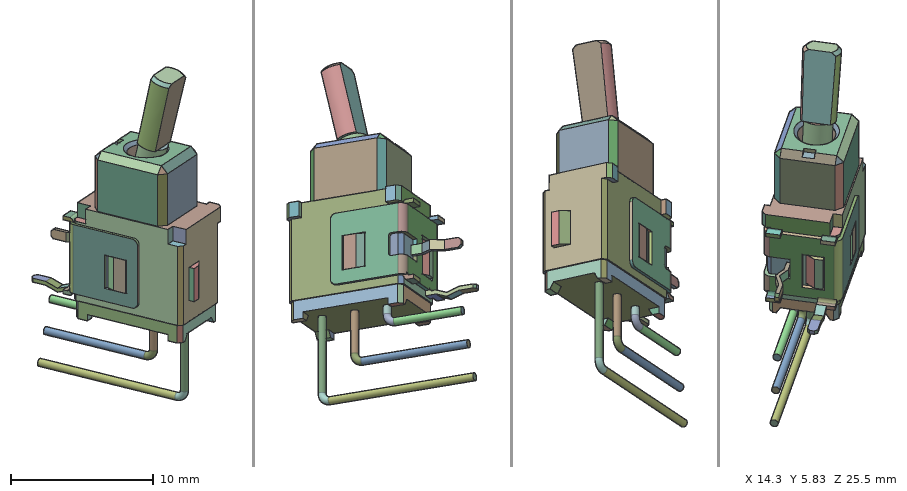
import cadquery as cq
import math


block_length = 8.98
block_width = 5.2
block_height = 7.22
corner_chamfer = 0.3

step_length = 1.1
step_height = 1.12
notch_depth = 0.66
ear_reach = 3.0

bezel_length = 5.97
bezel_width = 5.0
bezel_top = 11.7
bezel_chamfer = 0.5
socket_radius = 1.6
socket_chamfer = 0.25
socket_seat_radius = 1.07
mark_length = 0.71
mark_width = 0.87
mark_depth = 0.3
mark_end = -2.15

pivot_height = 9.6
lever_tilt = 13
lever_length = 8.37
collar_length = 2.78
collar_radius = 1.05
ball_radius = 1.28
lever_base_radius = 1.28
lever_tip_radius = 1.38
lever_tip_chamfer = 0.25
lever_thickness = 1.53

base_length = 8.78
base_width = 5.0
base_height = 1.4
slot_height = 0.48
arch_length = 6.64
tunnel_top_width = 3.27
tunnel_bottom_width = 3.88

stud_bottom = 1.6
stud_top = 4.15
stud_width = 1.3
stud_start = -0.23
stud_slope = 0.7
stud_height = 0.4
face_stud_length = 1.58
face_stud_end = 0.03
face_stud_slope = 0.55
face_stud_height = 0.2

sheet = 0.3
bracket_bottom = 0.6
bracket_top = 5.92
bracket_reach = 2.83
bracket_end = 1.02
bracket_bend = 0.5
arm_corner = 0.43
arm_window = (-1.7, 0.1)
plate_window_y = (-1.6, 0.0)
plate_window_z = (1.45, 4.35)
cutout_z = (2.07, 3.78)
cutout_edge = 0.87
cutout_length = 1.28
cutout_corner = 0.25

lip_end = -5.33
lip_inner = 1.45
lip_outer = 2.5
lower_lip_drop = 0.08
lip_fillet = 0.23
leg_tip = -8.4
leg_kink_start = -7.12
leg_kink_peak = -6.15
leg_width = 0.75
lower_leg_outer = -1.9
lower_leg_kink = 0.3
side_leg_bottom = 2.53
side_leg_kink = 0.43
leg_tip_chamfer = 0.2

pin_diameter = 0.59
pin_pitch = 2.55
pin_y = 1.0
pin_bend = 0.6
pin_tips = (-8.45, -8.9, -9.4)
first_pin_drop = 2.2
pin_embed = 0.25

half_block = block_length / 2
front_face = -block_width / 2
plate_outer = -half_block - sheet


def box(x_range, y_range, z_range):
    """Box between the given limits."""
    return (
        cq.Workplane("XY")
        .box(x_range[1] - x_range[0], y_range[1] - y_range[0], z_range[1] - z_range[0], centered=False)
        .translate((x_range[0], y_range[0], z_range[0]))
    )


def centered_box(length, width, bottom, top):
    """Box centred on the Z axis."""
    return box((-length / 2, length / 2), (-width / 2, width / 2), (bottom, top))


def plan_prism(points, bottom, top):
    """Outline in X and Y, extruded along Z."""
    return cq.Workplane("XY", origin=(0, 0, bottom)).polyline(points).close().extrude(top - bottom)


def along_y(profile, y_low, y_high):
    """Closed X-Z profile, drawn at Y = 0, extruded between two Y positions."""
    return profile.extrude(y_low - y_high).translate((0, y_low, 0))


def make_block():
    block = centered_box(block_length, block_width, 0, block_height)
    block = block.edges("|Z").chamfer(corner_chamfer)
    step_bottom = block_height - step_height
    step_start = half_block - step_length
    for side in (-1, 1):
        x_range = sorted((side * step_start, side * half_block))
        block = block.cut(box(x_range, (front_face, front_face + notch_depth), (step_bottom, block_height)))
        ear = [
            (side * step_start, 0),
            (side * half_block, 0),
            (side * half_block, ear_reach - corner_chamfer),
            (side * (half_block - corner_chamfer), ear_reach),
            (side * step_start, ear_reach),
        ]
        block = block.union(plan_prism(ear, step_bottom, block_height))
    return block


def make_base():
    """Frame under the block, opened by slots along X and Y so that four feet remain."""
    base = centered_box(base_length, base_width, -base_height, 0).edges("|Z").chamfer(corner_chamfer)
    slot_top = slot_height - base_height
    base = base.cut(centered_box(arch_length, base_width, -base_height, slot_top))
    tunnel = (
        cq.Workplane("YZ", origin=(-base_length / 2, 0, 0))
        .polyline([
            (-tunnel_bottom_width / 2, -base_height),
            (tunnel_bottom_width / 2, -base_height),
            (tunnel_top_width / 2, slot_top),
            (-tunnel_top_width / 2, slot_top),
        ])
        .close()
        .extrude(base_length)
    )
    return base.cut(tunnel)


def make_bezel():
    bezel = centered_box(bezel_length, bezel_width, block_height, bezel_top)
    bezel = bezel.edges("|Z or >Z").chamfer(bezel_chamfer)

    throat_radius = socket_radius - socket_chamfer
    seat_height = pivot_height + math.sqrt(ball_radius**2 - socket_seat_radius**2)
    socket = (
        cq.Workplane("XZ")
        .polyline([
            (0, pivot_height),
            (socket_seat_radius, pivot_height),
            (socket_seat_radius, seat_height),
            (throat_radius, bezel_top - socket_chamfer),
            (socket_radius, bezel_top),
            (0, bezel_top),
        ])
        .close()
        .revolve(360, (0, 0, 0), (0, 1, 0))
    )
    mark = box(
        (mark_end - mark_length, mark_end),
        (-mark_width / 2, mark_width / 2),
        (bezel_top - mark_depth, bezel_top),
    )
    return bezel.cut(socket).cut(mark)


def make_lever():
    """Ball, collar and flattened handle, built upright on the pivot and then tilted toward +X."""
    ball = cq.Workplane("XY").sphere(ball_radius)
    collar = cq.Workplane("XY").circle(collar_radius).extrude(collar_length)
    handle = (
        cq.Workplane("XZ")
        .polyline([
            (0, collar_length),
            (lever_base_radius, collar_length),
            (lever_tip_radius, lever_length - lever_tip_chamfer),
            (lever_tip_radius - lever_tip_chamfer, lever_length),
            (0, lever_length),
        ])
        .close()
        .revolve(360, (0, 0, 0), (0, 1, 0))
    )
    handle = handle.intersect(centered_box(lever_thickness, 2 * lever_tip_radius, 0, lever_length))
    lever = ball.union(collar).union(handle)
    return lever.rotate((0, 0, 0), (0, 1, 0), lever_tilt).translate((0, 0, pivot_height))


def make_studs():
    """Ramped snap studs on both ends and on the front and rear faces."""
    studs = cq.Workplane("XY")
    stud_end = stud_start - stud_width
    for side in (-1, 1):
        end_stud = [
            (side * half_block, stud_start),
            (side * (half_block + stud_height), stud_start - stud_slope),
            (side * (half_block + stud_height), stud_end),
            (side * (half_block - stud_height), stud_end),
            (side * (half_block - stud_height), stud_start),
        ]
        studs = studs.union(plan_prism(end_stud, stud_bottom, stud_top))

        face = block_width / 2
        face_stud_start = face_stud_end - face_stud_length
        face_stud = [
            (face_stud_start, side * face),
            (face_stud_start + face_stud_slope, side * (face + face_stud_height)),
            (face_stud_end, side * (face + face_stud_height)),
            (face_stud_end, side * (face - face_stud_height)),
            (face_stud_start, side * (face - face_stud_height)),
        ]
        studs = studs.union(plan_prism(face_stud, stud_bottom, stud_top))
    return studs


def make_bracket():
    """U-shaped sheet around the -X end, with windows for the studs."""
    z_range = (bracket_bottom, bracket_top)
    shell = box((plate_outer, bracket_end), (-bracket_reach, bracket_reach), z_range)
    shell = shell.edges("|Z and <X").fillet(bracket_bend).edges("|Y and >X").fillet(arm_corner)
    inner_reach = bracket_reach - sheet
    hollow = box((-half_block, bracket_end), (-inner_reach, inner_reach), z_range)
    hollow = hollow.edges("|Z and <X").fillet(bracket_bend - sheet)
    bracket = shell.cut(hollow)

    plate_x = (plate_outer, -half_block)
    bracket = bracket.cut(box(arm_window, (-bracket_reach, bracket_reach), (stud_bottom, stud_top)))
    bracket = bracket.cut(box(plate_x, plate_window_y, plate_window_z))
    cutout_x = (plate_outer, plate_outer + cutout_length)
    cutout = box(cutout_x, (cutout_edge, bracket_reach), cutout_z).edges("|Y and >X").fillet(cutout_corner)
    return bracket.cut(cutout)


def upper_lip_profile():
    """Tab bent outward at the upper edge of the bracket plate, rounded over the bend."""
    upper_z = bracket_top + sheet
    bend_middle = sheet * math.sqrt(0.5)
    return (
        cq.Workplane("XZ")
        .moveTo(lip_end, bracket_top)
        .lineTo(-half_block, bracket_top)
        .threePointArc((plate_outer + bend_middle, bracket_top + bend_middle), (plate_outer, upper_z))
        .lineTo(lip_end, upper_z)
        .close()
    )


def lower_lip_profile():
    """Tab bent outward at the lower edge of the bracket plate, with a fillet against the plate."""
    lip_top = bracket_bottom - lower_lip_drop
    lip_bottom = lip_top - sheet
    fillet_middle = lip_fillet * (1 - math.sqrt(0.5))
    return (
        cq.Workplane("XZ")
        .moveTo(lip_end, lip_bottom)
        .lineTo(-half_block - lip_fillet, lip_bottom)
        .lineTo(-half_block, lip_top)
        .lineTo(-half_block, lip_top + lip_fillet)
        .lineTo(plate_outer, lip_top + lip_fillet)
        .threePointArc(
            (plate_outer - fillet_middle, lip_top + fillet_middle),
            (plate_outer - lip_fillet, lip_top),
        )
        .lineTo(lip_end, lip_top)
        .close()
    )


def make_lips():
    lips = along_y(upper_lip_profile(), lip_inner, lip_outer)
    lips = lips.union(along_y(upper_lip_profile(), -lip_outer, -lip_inner))
    lips = lips.union(along_y(lower_lip_profile(), lip_inner, lip_outer))
    return lips.union(along_y(lower_lip_profile(), -lip_outer, lower_leg_outer + leg_width))


def leg_outline(level, kink):
    """Kinked strip along X; level is its lower face and kink its signed offset at the peak."""
    lower_face = [
        (leg_tip, level),
        (leg_kink_start, level),
        (leg_kink_peak, level + kink),
        (lip_end, level),
        (-half_block, level),
    ]
    return lower_face + [(x, height + sheet) for x, height in reversed(lower_face)]


def make_lower_leg():
    level = bracket_bottom - lower_lip_drop - sheet
    profile = cq.Workplane("XZ").polyline(leg_outline(level, -lower_leg_kink)).close()
    leg = along_y(profile, lower_leg_outer, lower_leg_outer + leg_width)
    return leg.edges("|Z and <X").chamfer(leg_tip_chamfer)


def make_side_leg():
    outline = leg_outline(cutout_edge, side_leg_kink)
    leg = plan_prism(outline, side_leg_bottom, side_leg_bottom + leg_width)
    return leg.edges("|Y and <X").chamfer(leg_tip_chamfer)


def make_pin(index):
    """Round pin dropping from the base and bending toward -X."""
    x = (index - 1) * pin_pitch
    level = -first_pin_drop - index * pin_pitch
    bend_middle = pin_bend * (1 - math.sqrt(0.5))
    top = pin_embed - base_height + slot_height
    path = (
        cq.Workplane("XZ", origin=(0, pin_y, 0))
        .moveTo(x, top)
        .lineTo(x, level + pin_bend)
        .threePointArc((x - bend_middle, level + bend_middle), (x - pin_bend, level))
        .lineTo(pin_tips[index], level)
    )
    return cq.Workplane("XY", origin=(x, pin_y, top)).circle(pin_diameter / 2).sweep(path)


result = make_block().union(make_base()).union(make_bezel()).union(make_lever())
result = result.union(make_studs()).union(make_bracket()).union(make_lips())
result = result.union(make_lower_leg()).union(make_side_leg())
for pin_index in range(len(pin_tips)):
    result = result.union(make_pin(pin_index))